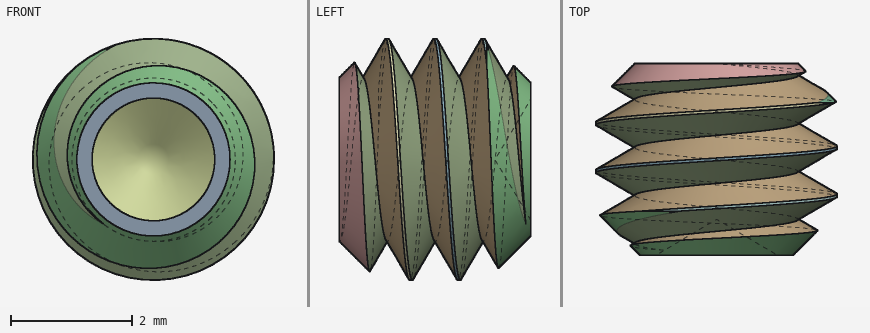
import cadquery as cq
import math

length = 3.17
major_radius = 1.995
minor_radius = 1.35
turns_in_length = 4
pitch = length / turns_in_length
flank_angle = 30.0

cup_end_radius = 1.265
plain_end_radius = minor_radius
cup_radius = 1.015
cup_depth = 0.6

crest_to_groove_turn = 0.75
lead_in_turns = 2
lead_out_turns = 1
groove_clearance = 0.12
flank_width = (major_radius - minor_radius) * math.tan(math.radians(flank_angle))


def make_blank():
    """Cylinder with 45 degree chamfers and the conical cup, revolved about Y."""
    cup_chamfer = major_radius - cup_end_radius
    plain_chamfer = major_radius - plain_end_radius
    outline = [
        (0, cup_depth),
        (cup_radius, 0),
        (cup_end_radius, 0),
        (major_radius, cup_chamfer),
        (major_radius, length - plain_chamfer),
        (plain_end_radius, length),
        (0, length),
    ]
    return cq.Workplane("XY").polyline(outline).close().revolve(360, (0, 0), (0, 1))


def make_groove():
    """Right-hand V groove that runs past both ends, bounded by ruled helical faces."""
    start = (crest_to_groove_turn - lead_in_turns) * pitch
    helix_height = (lead_in_turns + turns_in_length + lead_out_turns) * pitch
    cutter_radius = major_radius + groove_clearance
    section = [
        (minor_radius, 0),
        (major_radius, flank_width),
        (cutter_radius, flank_width),
        (cutter_radius, -flank_width),
        (major_radius, -flank_width),
    ]

    def end_cap(height):
        corners = [cq.Vector(radius, 0, height + offset) for radius, offset in section]
        return cq.Face.makeFromWires(cq.Wire.makePolygon(corners, close=True))

    edges = [
        cq.Wire.makeHelix(pitch, helix_height, radius, cq.Vector(0, 0, start + offset))
        for radius, offset in section
    ]
    next_edges = edges[1:] + edges[:1]
    faces = [cq.Face.makeRuledSurface(edge, other) for edge, other in zip(edges, next_edges)]
    faces += [end_cap(start), end_cap(start + helix_height)]
    groove = cq.Workplane(cq.Solid.makeSolid(cq.Shell.makeShell(faces)))
    return groove.rotate((0, 0, 0), (1, 0, 0), -90)


result = make_blank().cut(make_groove())